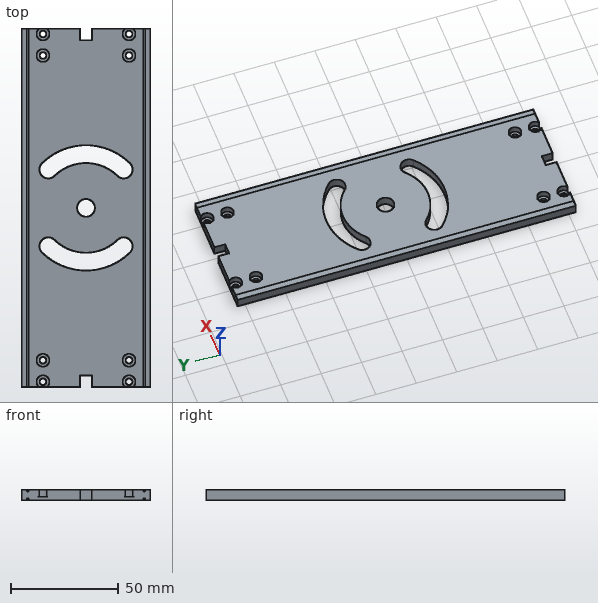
import cadquery as cq
import math

width = 60.0
length = 167.2
thickness = 5.0

notch_width = 5.5
notch_depth = 5.4

screw_diameter = 3.0
counterbore_diameter = 6.0
counterbore_depth = 3.3
screw_x = 20.0
outer_row_inset = 2.5
row_pitch = 10.0

pivot_diameter = 8.2
slot_width = 8.2
slot_radius = 25.0
slot_half_angle = math.radians(44.5)

bore_diameter = 0.8
bore_inset = 2.8
bore_axis_depth = 0.43


def arc_slot(side):
    """Round-ended slot centred on the +Y (side = 1) or -Y (side = -1) axis."""
    def at(radius, angle):
        return (radius * math.sin(angle), side * radius * math.cos(angle))

    inner = slot_radius - slot_width / 2
    outer = slot_radius + slot_width / 2
    band = (
        cq.Workplane("XY")
        .moveTo(*at(inner, -slot_half_angle))
        .threePointArc(at(inner, 0), at(inner, slot_half_angle))
        .lineTo(*at(outer, slot_half_angle))
        .threePointArc(at(outer, 0), at(outer, -slot_half_angle))
        .close()
        .extrude(thickness)
    )
    end_centres = [at(slot_radius, angle) for angle in (-slot_half_angle, slot_half_angle)]
    ends = cq.Workplane("XY").pushPoints(end_centres).circle(slot_width / 2).extrude(thickness)
    return band.union(ends)


def screw_hole_cutters():
    """Through holes with counterbores sunk from the top face."""
    outer_row_y = length / 2 - outer_row_inset
    inner_row_y = outer_row_y - row_pitch
    centres = [
        (side * screw_x, end * row_y)
        for side in (-1, 1)
        for end in (-1, 1)
        for row_y in (outer_row_y, inner_row_y)
    ]
    holes = cq.Workplane("XY").pushPoints(centres).circle(screw_diameter / 2).extrude(thickness)
    counterbores = (
        cq.Workplane("XY", origin=(0, 0, thickness - counterbore_depth))
        .pushPoints(centres)
        .circle(counterbore_diameter / 2)
        .extrude(counterbore_depth)
    )
    return holes.union(counterbores)


def bore_cutters():
    """Full-length rods just below the top and bottom faces."""
    bore_x = width / 2 - bore_inset
    axis_heights = (bore_axis_depth, thickness - bore_axis_depth)
    centres = [(side * bore_x, z) for side in (-1, 1) for z in axis_heights]
    return (
        cq.Workplane("XZ", origin=(0, length / 2, 0))
        .pushPoints(centres)
        .circle(bore_diameter / 2)
        .extrude(length)
    )


plate = cq.Workplane("XY").box(width, length, thickness, centered=(True, True, False))

notches = (
    cq.Workplane("XY")
    .pushPoints([(0, -length / 2), (0, length / 2)])
    .rect(notch_width, 2 * notch_depth)
    .extrude(thickness)
)
pivot_hole = cq.Workplane("XY").circle(pivot_diameter / 2).extrude(thickness)

result = plate.cut(notches).cut(pivot_hole).cut(screw_hole_cutters()).cut(bore_cutters())
for slot_side in (-1, 1):
    result = result.cut(arc_slot(slot_side))